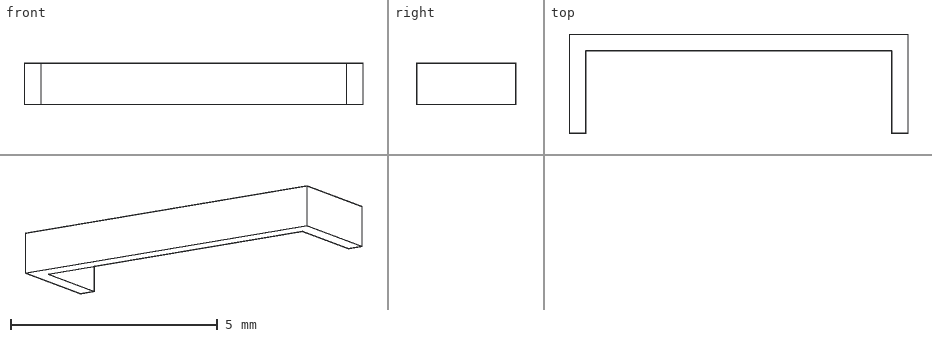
import cadquery as cq

width = 8.2
depth = 2.4
height = 1.0
thickness = 0.4

gap_width = width - 2 * thickness
gap_depth = depth - thickness


def make_bracket():
    """U-shaped bracket: a web along X with a leg toward -Y at each end."""
    block = cq.Workplane("XY").box(width, depth, height)
    gap = (
        cq.Workplane("XY")
        .box(gap_width, gap_depth, height)
        .translate((0, -thickness / 2, 0))
    )
    return block.cut(gap)


result = make_bracket()